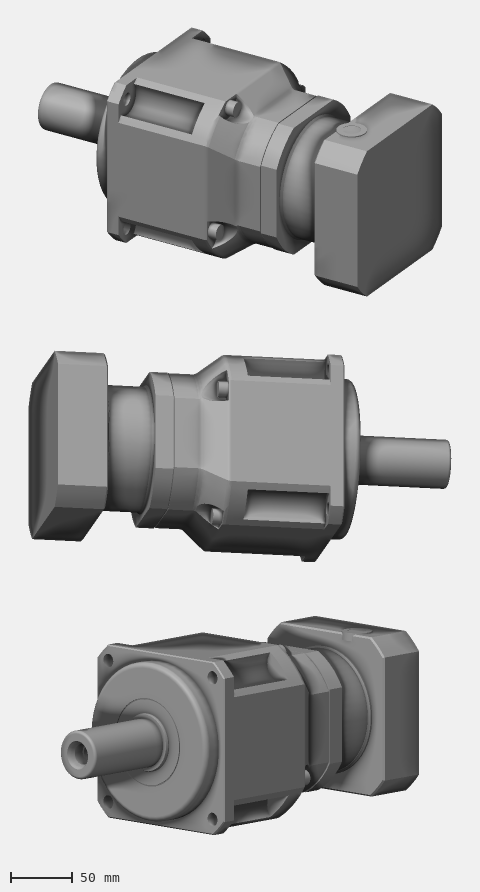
import cadquery as cq
import math


SHAFT_DIA = 40.0
SHAFT_FILLET = 2.3
COLLAR_DIA = 47.8
COLLAR_FRONT_X = 79.5
COLLAR_CHAMFER_LENGTH = 2.0
COLLAR_CHAMFER_DEPTH = 0.5
CENTRE_MOUTH_DIA = 23.2
CENTRE_RECESS_DIA = 17.0
CENTRE_HOLE_DIA = 14.0
CENTRE_MOUTH_DEPTH = 5.5
CENTRE_RECESS_DEPTH = 15.0
CENTRE_HOLE_DEPTH = 40.0
DRILL_POINT_ANGLE = 118.0

PILOT_DIA = 130.0
PILOT_FRONT_X = 82.5
PILOT_FILLET = 4.3
SEAL_DIA = 70.0
SEAL_GROOVE_DIA = 72.5
SEAL_GROOVE_DEPTH = 1.0

BODY_WIDTH = 142.0
PLATE_FRONT_X = 97.3
PLATE_BACK_X = 109.0
PLATE_CORNER_DIA = 184.5
PLATE_EDGE_CHAMFER = 1.0
MOUNT_HOLE_DIA = 11.0
MOUNT_HOLE_OFFSET = 58.0
BOLT_SLOT_DIA = 28.2
BOLT_SLOT_END_X = 176.3

SHAFT_END_X = PLATE_BACK_X

BODY_CORNER_DIA = 165.5
TAPER_START_X = 192.2
TAPER_END_X = 212.8
TAPER_FILLET = 5.3
BEND_MARGIN = 3.3
NECK_WIDTH = 114.2
NECK_CORNER_DIA = 128.0
NECK_END_X = 234.7

SCREW_DIA = 13.0
SCREW_CIRCLE_RADIUS = 72.7
SCREW_COUNT = 4
SCREW_FIRST_ANGLE = 30.0
SCREW_SEAT_X = 192.5
SCREW_HEAD_X = 200.2
SCREW_POCKET_DIA = 28.5
SCREW_POCKET_RADIUS = 79.0
SCREW_POCKET_END_X = TAPER_END_X + 3.3
SCREW_ROOT_LENGTH = 3.3

RING_CORNER_DIA = 129.5
RING_FRONT_X = 235.7
RING_END_X = 250.3
RING_GAP_DEPTH = 1.0

BARREL_DIA = 102.0
BARREL_SHOULDER_DIA = 105.0
BARREL_SHOULDER_END_X = 252.3
BARREL_GROOVE_X = 286.5
BARREL_RIM_X = 287.5
BARREL_RIM_FULL_X = 289.0
BARREL_GROOVE_DEPTH = 0.5

FLANGE_WIDTH = 130.8
FLANGE_CORNER_DIA = BODY_CORNER_DIA
FLANGE_FRONT_X = 290.5
FLANGE_END_X = 332.0
FLANGE_EDGE_CHAMFER = 1.3
PLUG_X = 301.8
PLUG_Y = -25.0
PLUG_DIA = 25.0
PLUG_RECESS_DIA = 15.3
PLUG_HEIGHT = 1.0
PLUG_RECESS_DEPTH = 0.3
PLUG_SEAT_DEPTH = 6.5


def cylinder(diameter, start_x, end_x, y=0.0, z=0.0):
    """Cylinder along X between two stations."""
    plane = cq.Workplane("YZ", origin=(start_x, y, z))
    return plane.circle(diameter / 2).extrude(end_x - start_x)


def square_block(width, start_x, end_x):
    """Square bar along X between two stations."""
    plane = cq.Workplane("YZ", origin=(start_x, 0, 0))
    return plane.rect(width, width).extrude(end_x - start_x)


def rounded_square(width, corner_dia, start_x, end_x):
    """Square bar whose four corners are turned down to a common cylinder."""
    return square_block(width, start_x, end_x).intersect(cylinder(corner_dia, start_x, end_x))


def revolve_about_x(points):
    """Solid of revolution from (x, radius) points of a closed half profile."""
    return cq.Workplane("XY").polyline(points).close().revolve(360, (0, 0, 0), (1, 0, 0))


def make_shaft():
    """Output shaft with its collar and centre hole."""
    journal = cylinder(SHAFT_DIA, 0, SHAFT_END_X).faces("<X").edges().fillet(SHAFT_FILLET)
    collar = revolve_about_x([
        (COLLAR_FRONT_X, 0),
        (COLLAR_FRONT_X, COLLAR_DIA / 2 - COLLAR_CHAMFER_DEPTH),
        (COLLAR_FRONT_X + COLLAR_CHAMFER_LENGTH, COLLAR_DIA / 2),
        (SHAFT_END_X, COLLAR_DIA / 2),
        (SHAFT_END_X, 0),
    ])
    hole_radius = CENTRE_HOLE_DIA / 2
    point_length = hole_radius / math.tan(math.radians(DRILL_POINT_ANGLE / 2))
    centre_hole = revolve_about_x([
        (0, 0),
        (0, CENTRE_MOUTH_DIA / 2),
        (CENTRE_MOUTH_DEPTH, CENTRE_RECESS_DIA / 2),
        (CENTRE_RECESS_DEPTH, CENTRE_RECESS_DIA / 2),
        (CENTRE_RECESS_DEPTH, hole_radius),
        (CENTRE_HOLE_DEPTH, hole_radius),
        (CENTRE_HOLE_DEPTH + point_length, 0),
    ])
    return journal.union(collar).cut(centre_hole)


def make_pilot():
    """Round locating spigot with a seal groove in its face."""
    pilot = cylinder(PILOT_DIA, PILOT_FRONT_X, PLATE_FRONT_X).faces("<X").edges().fillet(PILOT_FILLET)
    groove_end_x = PILOT_FRONT_X + SEAL_GROOVE_DEPTH
    groove = cylinder(SEAL_GROOVE_DIA, PILOT_FRONT_X, groove_end_x)
    groove = groove.cut(cylinder(SEAL_DIA, PILOT_FRONT_X, groove_end_x))
    return pilot.cut(groove)


def make_plate():
    """Square mounting plate with a bevelled front edge."""
    plate = rounded_square(BODY_WIDTH, PLATE_CORNER_DIA, PLATE_FRONT_X, PLATE_BACK_X)
    return plate.faces("<X").chamfer(PLATE_EDGE_CHAMFER)


def tapered_outline(front_half, rear_half):
    """Closed (x, half height) outline of the body and the neck, down to the axis."""
    return [
        (PLATE_BACK_X, 0),
        (PLATE_BACK_X, front_half),
        (TAPER_START_X, front_half),
        (TAPER_END_X, rear_half),
        (NECK_END_X, rear_half),
        (NECK_END_X, 0),
    ]


def taper_bends():
    """Selector for edges at the two bends of the taper."""
    return cq.selectors.BoxSelector(
        (TAPER_START_X - BEND_MARGIN, -BODY_WIDTH, -BODY_WIDTH),
        (TAPER_END_X + BEND_MARGIN, BODY_WIDTH, BODY_WIDTH),
    )


def tapered_slab(plane):
    """Slab whose two faces step from the body width to the neck width."""
    outline = tapered_outline(BODY_WIDTH / 2, NECK_WIDTH / 2)
    mirrored = [(x, -half) for x, half in reversed(outline[1:-1])]
    profile = cq.Workplane(plane).polyline(outline[1:-1] + mirrored).close()
    slab = profile.extrude(BODY_WIDTH / 2, both=True)
    across = "|Z" if plane == "XY" else "|Y"
    return slab.edges(across).edges(taper_bends()).fillet(TAPER_FILLET)


def make_body():
    """Main body and neck: two crossed slabs trimmed by a turned outline."""
    turned = revolve_about_x(tapered_outline(BODY_CORNER_DIA / 2, NECK_CORNER_DIA / 2))
    turned = turned.edges("%CIRCLE").edges(taper_bends()).fillet(TAPER_FILLET)
    return tapered_slab("XY").intersect(tapered_slab("XZ")).intersect(turned)


def mount_positions():
    """(y, z) of the four mounting holes."""
    return [(y * MOUNT_HOLE_OFFSET, z * MOUNT_HOLE_OFFSET) for y in (-1, 1) for z in (-1, 1)]


def screw_positions(radius):
    """(y, z) of the four cap screw stations at a given distance from the axis."""
    angles = [math.radians(SCREW_FIRST_ANGLE + 360 / SCREW_COUNT * i) for i in range(SCREW_COUNT)]
    return [(radius * math.cos(a), radius * math.sin(a)) for a in angles]


def make_ring():
    """Intermediate ring, set off from the neck by a fine gap line."""
    ring = rounded_square(NECK_WIDTH, RING_CORNER_DIA, RING_FRONT_X, RING_END_X)
    gap_width = NECK_WIDTH - 2 * RING_GAP_DEPTH
    gap_dia = NECK_CORNER_DIA - 2 * RING_GAP_DEPTH
    return ring.union(rounded_square(gap_width, gap_dia, NECK_END_X, RING_FRONT_X))


def make_barrel():
    """Adapter barrel with a conical front shoulder, and a groove and rim at the rear."""
    return revolve_about_x([
        (RING_END_X, 0),
        (RING_END_X, BARREL_SHOULDER_DIA / 2),
        (BARREL_SHOULDER_END_X, BARREL_DIA / 2),
        (BARREL_GROOVE_X, BARREL_DIA / 2),
        (BARREL_GROOVE_X, BARREL_DIA / 2 - BARREL_GROOVE_DEPTH),
        (BARREL_RIM_X, BARREL_DIA / 2 - BARREL_GROOVE_DEPTH),
        (BARREL_RIM_X, BARREL_DIA / 2),
        (BARREL_RIM_FULL_X, BARREL_SHOULDER_DIA / 2),
        (FLANGE_FRONT_X, BARREL_SHOULDER_DIA / 2),
        (FLANGE_FRONT_X, 0),
    ])


def make_flange():
    """Motor flange with its access plug."""
    flange = rounded_square(FLANGE_WIDTH, FLANGE_CORNER_DIA, FLANGE_FRONT_X, FLANGE_END_X)
    flange = flange.faces("<X").chamfer(FLANGE_EDGE_CHAMFER)
    plug_top = FLANGE_WIDTH / 2 + PLUG_HEIGHT
    plug_plane = cq.Workplane("XY", origin=(PLUG_X, PLUG_Y, plug_top))
    plug = plug_plane.circle(PLUG_DIA / 2).extrude(-PLUG_SEAT_DEPTH)
    plug = plug.cut(plug_plane.circle(PLUG_RECESS_DIA / 2).extrude(-PLUG_RECESS_DEPTH))
    return flange.union(plug)


def make_housing():
    """Complete housing, bored to receive the shaft."""
    housing = make_body()
    for y, z in mount_positions():
        housing = housing.cut(cylinder(BOLT_SLOT_DIA, PLATE_BACK_X, BOLT_SLOT_END_X, y, z))
    for y, z in screw_positions(SCREW_POCKET_RADIUS):
        housing = housing.cut(cylinder(SCREW_POCKET_DIA, SCREW_SEAT_X, SCREW_POCKET_END_X, y, z))
    for y, z in screw_positions(SCREW_CIRCLE_RADIUS):
        screw_root_x = SCREW_SEAT_X - SCREW_ROOT_LENGTH
        housing = housing.union(cylinder(SCREW_DIA, screw_root_x, SCREW_HEAD_X, y, z))
    plate = make_plate()
    for y, z in mount_positions():
        plate = plate.cut(cylinder(MOUNT_HOLE_DIA, PLATE_FRONT_X, PLATE_BACK_X, y, z))
    for section in (plate, make_pilot(), make_ring(), make_barrel(), make_flange()):
        housing = housing.union(section)
    bore = cylinder(COLLAR_DIA, PILOT_FRONT_X, SHAFT_END_X)
    return housing.cut(bore)


shaft = make_shaft()
housing = make_housing()
result = cq.Compound.makeCompound([shaft.val(), housing.val()])